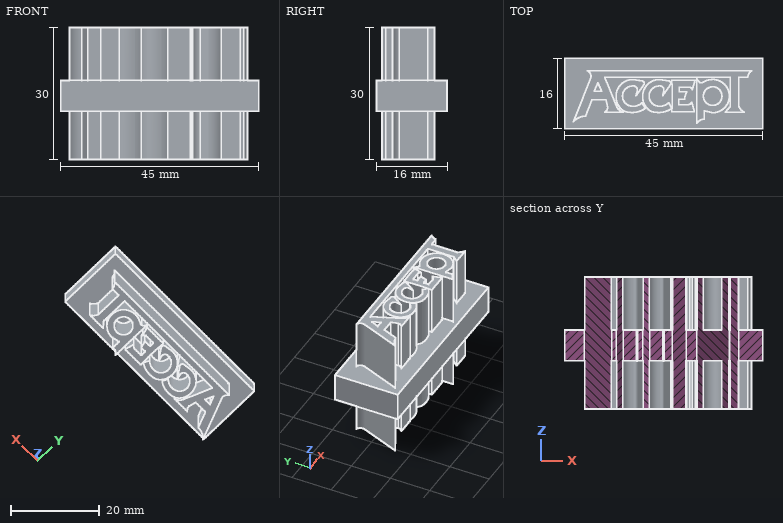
import cadquery as cq
import math

PLATE_LENGTH = 45.0
PLATE_WIDTH = 16.0
PLATE_THICKNESS = 7.0
PLATE_TOP = PLATE_THICKNESS / 2
PLATE_BOTTOM = -PLATE_TOP

HEIGHT_ABOVE = 12.0
HEIGHT_BELOW = 11.0
LETTER_TOP = PLATE_TOP + HEIGHT_ABOVE
LETTER_BOTTOM = PLATE_BOTTOM - HEIGHT_BELOW

BASELINE = -4.28
ROUND_CENTRE_Y = -0.6

BAR_TOP = 5.18
BAR_UNDERSIDE = 3.65

C_CENTRE_X = -7.05
C_SPACING = 6.05
C_COUNT = 2
C_OUTER_RADIUS = 3.75
C_INNER_RADIUS = 2.3

BOWL_CENTRE = (11.1, ROUND_CENTRE_Y)
BOWL_RADIUS = 3.8
BOWL_HOLE_RADIUS = 2.1


def on_circle(centre, radius, degrees):
    """Point on a circle, with the angle counted from +X."""
    angle = math.radians(degrees)
    return (centre[0] + radius * math.cos(angle), centre[1] + radius * math.sin(angle))


def start_outline(point):
    """Begin a letter outline on the lower end face of the letters."""
    return cq.Workplane("XY", origin=(0, 0, LETTER_BOTTOM)).moveTo(*point)


def extrude_letter(outline):
    """Close a letter outline and extrude it over the full letter height."""
    return outline.close().extrude(LETTER_TOP - LETTER_BOTTOM)


def cut_counter(letter, counter_sketch):
    """Sink a letter's enclosed opening from both ends, down to the faces of the plate."""
    upper_pocket = counter_sketch(cq.Workplane("XY", origin=(0, 0, PLATE_TOP))).extrude(HEIGHT_ABOVE)
    lower_pocket = counter_sketch(cq.Workplane("XY", origin=(0, 0, LETTER_BOTTOM))).extrude(HEIGHT_BELOW)
    return letter.cut(upper_pocket).cut(lower_pocket)


def make_a_bar_t():
    """The "A" and the "T", joined into one body by the long bar over the other letters."""
    bar_left_tip = (-17.32, BAR_TOP)
    bar_right_tip = (19.95, BAR_TOP)
    bar_right_bend = (19.35, 4.55)
    bar_right_heel = (19.1, BAR_UNDERSIDE)

    a_left_bend = (-16.7, 4.65)
    a_left_shoulder = (-16.55, 3.5)
    a_left_foot_tip = (-20.48, -6.4)
    a_left_foot_bend = (-19.3, -5.5)
    a_left_foot_heel = (-17.75, -5.15)
    crossbar_underside = -1.45
    a_crossbar_left = (-16.3, crossbar_underside)
    a_crossbar_right = (-13.1, crossbar_underside)
    a_right_ankle = (-12.7, -3.15)
    a_right_foot_bend = (-12.85, -3.75)
    a_right_foot_left_tip = (-13.35, BASELINE)
    a_right_foot_right_tip = (-9.15, BASELINE)
    a_right_instep_bend = (-10.15, -3.7)
    a_right_instep = (-10.75, -2.75)
    a_bar_corner = (-13.35, BAR_UNDERSIDE)

    t_left = 15.08
    t_right = 17.0
    t_left_ankle = (t_left, -2.95)
    t_foot_left_tip = (13.95, BASELINE)
    t_foot_right_tip = (18.3, BASELINE)
    t_foot_bend = (17.5, -3.65)
    t_right_ankle = (t_right, -2.85)

    outline = (
        start_outline(bar_left_tip)
        .threePointArc(a_left_bend, a_left_shoulder)
        .lineTo(*a_left_foot_tip)
        .threePointArc(a_left_foot_bend, a_left_foot_heel)
        .lineTo(*a_crossbar_left)
        .lineTo(*a_crossbar_right)
        .lineTo(*a_right_ankle)
        .threePointArc(a_right_foot_bend, a_right_foot_left_tip)
        .lineTo(*a_right_foot_right_tip)
        .threePointArc(a_right_instep_bend, a_right_instep)
        .lineTo(*a_bar_corner)
        .lineTo(t_left, BAR_UNDERSIDE)
        .lineTo(*t_left_ankle)
        .lineTo(*t_foot_left_tip)
        .lineTo(*t_foot_right_tip)
        .threePointArc(t_foot_bend, t_right_ankle)
        .lineTo(t_right, BAR_UNDERSIDE)
        .lineTo(*bar_right_heel)
        .threePointArc(bar_right_bend, bar_right_tip)
    )

    triangle = [(-14.95, 2.48), (-15.75, 0.55), (-14.1, 0.55)]
    return cut_counter(extrude_letter(outline), lambda plane: plane.polyline(triangle).close())


def make_c(centre_x):
    """One "C": a round back with a fuller heel, a pointed upper lip and a blunt lower end."""
    centre = (centre_x, ROUND_CENTRE_Y)

    def beside(dx, dy):
        return (centre[0] + dx, centre[1] + dy)

    lip_point = beside(0.75, 0.05)
    lip_outer_corner = beside(2.5, 2.5)
    lip_bend = beside(2.6, 3.1)
    lip_top = beside(2.02, 3.45)
    heel_bend = beside(-3.05, -2.4)
    heel = beside(-1.85, -3.45)
    bottom = beside(0, -C_OUTER_RADIUS)
    toe = beside(1.45, -3.5)
    lower_end_bend = beside(2.2, -3.2)
    lower_end_outer = beside(2.9, -2.8)
    lower_end_inner = beside(2.15, -1.5)
    lower_inner_bend = beside(1.2, -2.1)
    curl_bend = beside(1.0, 1.8)
    curl_end = beside(1.05, 1.1)

    outline = (
        start_outline(lip_point)
        .lineTo(*lip_outer_corner)
        .threePointArc(lip_bend, lip_top)
        .lineTo(*on_circle(centre, C_OUTER_RADIUS, 80))
        .threePointArc(on_circle(centre, C_OUTER_RADIUS, 130), on_circle(centre, C_OUTER_RADIUS, 180))
        .threePointArc(heel_bend, heel)
        .threePointArc(bottom, toe)
        .threePointArc(lower_end_bend, lower_end_outer)
        .lineTo(*lower_end_inner)
        .threePointArc(lower_inner_bend, on_circle(centre, C_INNER_RADIUS, 270))
        .threePointArc(on_circle(centre, C_INNER_RADIUS, 180), on_circle(centre, C_INNER_RADIUS, 90))
        .threePointArc(curl_bend, curl_end)
    )
    return extrude_letter(outline)


def make_e():
    """The "E": three arms on a stem whose left edge is slightly hollow."""
    stem_left = 1.85
    stem_hollow = 0.15
    top = 2.95
    bottom = -4.2
    upper_gap_left = 3.5
    upper_gap_top = 1.45
    middle_arm_top = 0.35
    middle_arm_bottom = -1.3
    lower_gap_left = 3.38
    lower_gap_bottom = -2.55
    upper_arm_corner = (7.1, top)
    upper_serif_tip = (6.5, 0.9)
    upper_serif_bend = (6.25, 1.2)
    upper_serif_root = (5.9, upper_gap_top)
    middle_arm_tip = (5.2, middle_arm_top)
    middle_arm_bend = (4.9, -0.4)
    middle_arm_heel = (4.72, middle_arm_bottom)
    lower_serif_root = (5.45, lower_gap_bottom)
    lower_serif_bend = (6.0, -2.4)
    lower_serif_tip = (6.4, -2.0)
    lower_arm_corner = (6.98, bottom)
    stem_middle = (stem_left + stem_hollow, (top + bottom) / 2)

    outline = (
        start_outline((stem_left, top))
        .lineTo(*upper_arm_corner)
        .lineTo(*upper_serif_tip)
        .threePointArc(upper_serif_bend, upper_serif_root)
        .lineTo(upper_gap_left, upper_gap_top)
        .lineTo(upper_gap_left, middle_arm_top)
        .lineTo(*middle_arm_tip)
        .threePointArc(middle_arm_bend, middle_arm_heel)
        .lineTo(lower_gap_left, middle_arm_bottom)
        .lineTo(lower_gap_left, lower_gap_bottom)
        .lineTo(*lower_serif_root)
        .threePointArc(lower_serif_bend, lower_serif_tip)
        .lineTo(*lower_arm_corner)
        .lineTo(stem_left, bottom)
        .threePointArc(stem_middle, (stem_left, top))
    )
    return extrude_letter(outline)


def make_p():
    """The "p": a round bowl on a stem that runs out to a point at both ends."""
    stem_left = 7.5
    stem_right = 9.2
    top_tip = (stem_left, 3.4)
    bottom_tip = (stem_left, -6.75)
    notch_left_bend = (7.8, 2.92)
    notch_bottom = (8.32, 2.45)
    notch_right_bend = (8.7, 2.48)
    notch_end = (9.0, 2.6)
    bowl_joint = (stem_right, -3.9)
    stem_heel = (stem_right, -5.85)
    stem_foot_bend = (8.25, -6.08)

    outline = (
        start_outline(top_tip)
        .threePointArc(notch_left_bend, notch_bottom)
        .threePointArc(notch_right_bend, notch_end)
        .threePointArc(on_circle(BOWL_CENTRE, BOWL_RADIUS, 105), on_circle(BOWL_CENTRE, BOWL_RADIUS, 85))
        .threePointArc(on_circle(BOWL_CENTRE, BOWL_RADIUS, 0), on_circle(BOWL_CENTRE, BOWL_RADIUS, 270))
        .lineTo(*bowl_joint)
        .lineTo(*stem_heel)
        .threePointArc(stem_foot_bend, bottom_tip)
    )
    return cut_counter(
        extrude_letter(outline),
        lambda plane: plane.center(*BOWL_CENTRE).circle(BOWL_HOLE_RADIUS),
    )


def make_plate(letters):
    """Rectangular plate with an opening for each letter."""
    plate = cq.Workplane("XY").box(PLATE_LENGTH, PLATE_WIDTH, PLATE_THICKNESS)
    for letter in letters:
        plate = plate.cut(letter)
    return plate


a_bar_t = make_a_bar_t()
c_letters = [make_c(C_CENTRE_X + index * C_SPACING) for index in range(C_COUNT)]
e_letter = make_e()
p_letter = make_p()
letters = [a_bar_t, *c_letters, e_letter, p_letter]
plate = make_plate(letters)

result = cq.Compound.makeCompound([plate.val(), *[letter.val() for letter in letters]])